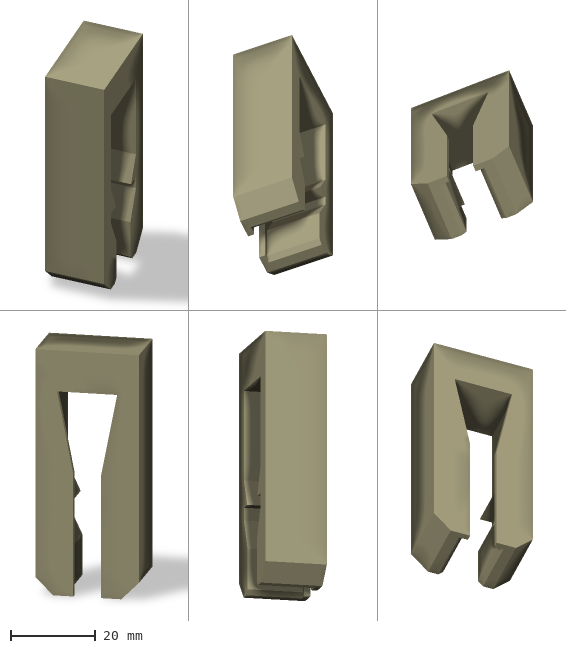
import cadquery as cq
import math

width = 15.0
depth = 25.0
height = 60.0

slot_width = 6.7
roof_slot_width = 14.5
flare_start_height = 30.0
roof_thickness = 10.0
roof_height = height - roof_thickness

foot_chamfer = 4.25

plate_thickness = 1.5
cavity_half_width = 8.0
lower_tip_half_width = 4.45
lower_tip_height = 11.1
mouth_chamfer = 1.2
upper_tip_half_width = 4.85
upper_tip_height = 21.7
tooth_slope_angle = 25.2


def make_body():
    """Block with its two lower outer edges chamfered."""
    block = cq.Workplane("XY").box(width, depth, height, centered=(True, True, False))
    return block.faces("<Z").edges("|X").chamfer(foot_chamfer)


def make_slot():
    """Slot through the full width, open at the feet."""
    return (
        cq.Workplane("YZ")
        .moveTo(-slot_width / 2, 0)
        .lineTo(-slot_width / 2, flare_start_height)
        .lineTo(-roof_slot_width / 2, roof_height)
        .lineTo(roof_slot_width / 2, roof_height)
        .lineTo(slot_width / 2, flare_start_height)
        .lineTo(slot_width / 2, 0)
        .close()
        .extrude(width / 2, both=True)
    )


def slope_top(tip_half_width, tip_height):
    """Height where a tooth's slope, rising from its tip, meets the cavity wall."""
    run = cavity_half_width - tip_half_width
    return tip_height + run / math.tan(math.radians(tooth_slope_angle))


def make_cavity():
    """Symmetric toothed cavity, open at the feet and on the +X side."""
    half_profile = [
        (lower_tip_half_width + mouth_chamfer, 0),
        (lower_tip_half_width, mouth_chamfer),
        (lower_tip_half_width, lower_tip_height),
        (cavity_half_width, slope_top(lower_tip_half_width, lower_tip_height)),
        (cavity_half_width, upper_tip_height),
        (upper_tip_half_width, upper_tip_height),
        (cavity_half_width, slope_top(upper_tip_half_width, upper_tip_height)),
        (cavity_half_width, roof_height),
    ]
    mirrored_profile = [(-y, z) for y, z in reversed(half_profile)]
    return (
        cq.Workplane("YZ", origin=(plate_thickness - width / 2, 0, 0))
        .polyline(half_profile + mirrored_profile)
        .close()
        .extrude(width - plate_thickness)
    )


result = make_body().cut(make_slot()).cut(make_cavity())